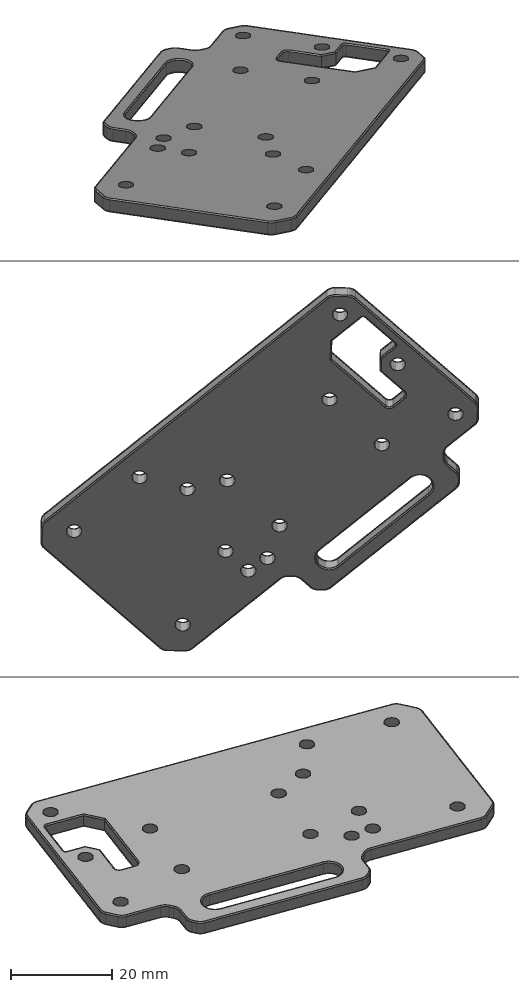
import cadquery as cq

total_width = 50.6
length = 85.8
thickness = 3.0
edge_break = 0.3

tab_reach = 8.4
tab_length = 40.0
tab_center_y = 8.6

top_corner_cut = 3.1
bottom_corner_cut = 3.7
tab_corner_cut = 2.0
blend_radius = 2.2

slot_width = 5.15
slot_length = 29.95
slot_center_x = -19.8

window_left = -2.4
window_step_x = 7.6
window_right = 17.2
window_bottom = 29.35
window_step_y = 34.3
window_top = 41.0
window_step_cut = 2.2
window_corner_cut = 3.1
window_left_radius = 1.0
window_top_radius = 0.5

hole_diameter = 3.0
top_hole_pitch = 16.5
top_hole_y = 38.0
board_hole_x = 7.5
board_hole_rows = (22.5, -5.5)
bracket_hole_x = 11.4
bracket_hole_y = -12.6
lower_row_y = -17.4
lower_row_x = (-11.0, -4.5, 20.0)
bottom_hole_x = (-11.3, 19.65)
bottom_hole_y = -35.7

right = total_width / 2
tab_left = -right
body_left = tab_left + tab_reach
body_center_x = (body_left + right) / 2
top = length / 2
bottom = -top
tab_top = tab_center_y + tab_length / 2
tab_bottom = tab_center_y - tab_length / 2


def prism(points):
    return cq.Workplane("XY").polyline(points).close().extrude(thickness)


def plate_blank():
    outline = [
        (body_left + bottom_corner_cut, bottom),
        (right - bottom_corner_cut, bottom),
        (right, bottom + bottom_corner_cut),
        (right, top - top_corner_cut),
        (right - top_corner_cut, top),
        (body_left + top_corner_cut, top),
        (body_left, top - top_corner_cut),
        (body_left, tab_top + tab_corner_cut),
        (body_left - tab_corner_cut, tab_top),
        (tab_left + tab_corner_cut, tab_top),
        (tab_left, tab_top - tab_corner_cut),
        (tab_left, tab_bottom + tab_corner_cut),
        (tab_left + tab_corner_cut, tab_bottom),
        (body_left - tab_corner_cut, tab_bottom),
        (body_left, tab_bottom - tab_corner_cut),
        (body_left, bottom + bottom_corner_cut),
    ]
    return prism(outline).edges("|Z").fillet(blend_radius)


def slot():
    return (
        cq.Workplane("XY")
        .center(slot_center_x, tab_center_y)
        .slot2D(slot_length, slot_width, 90)
        .extrude(thickness)
    )


def window():
    outline = [
        (window_left, window_bottom),
        (window_right - window_corner_cut, window_bottom),
        (window_right, window_bottom + window_corner_cut),
        (window_right, window_top),
        (window_step_x, window_top),
        (window_step_x, window_step_y + window_step_cut),
        (window_step_x - window_step_cut, window_step_y),
        (window_left, window_step_y),
    ]
    opening = prism(outline)
    opening = opening.edges("|Z and <X").fillet(window_left_radius)
    return opening.edges("|Z and >Y").fillet(window_top_radius)


def hole_centers():
    centers = [(body_center_x + i * top_hole_pitch, top_hole_y) for i in (-1, 0, 1)]
    centers += [(side * board_hole_x, y) for y in board_hole_rows for side in (-1, 1)]
    centers += [(side * bracket_hole_x, bracket_hole_y) for side in (-1, 1)]
    centers += [(x, lower_row_y) for x in lower_row_x]
    centers += [(x, bottom_hole_y) for x in bottom_hole_x]
    return centers


def screw_holes():
    return (
        cq.Workplane("XY")
        .pushPoints(hole_centers())
        .circle(hole_diameter / 2)
        .extrude(thickness)
    )


plate = plate_blank().cut(slot()).cut(window())
plate = plate.faces("<Z or >Z").edges().chamfer(edge_break)
result = plate.cut(screw_holes())